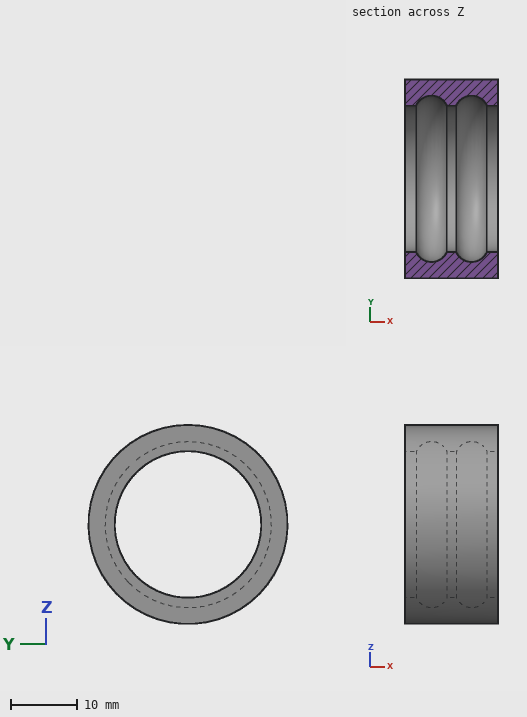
import cadquery as cq

outer_radius = 15.0
bore_radius = 11.0
ring_length = 14.0

groove_width = 4.62
groove_depth = 1.5
end_land = 1.68
middle_land = ring_length - 2 * (end_land + groove_width)

start_x = -ring_length / 2
first_groove_x = start_x + end_land
second_groove_x = first_groove_x + groove_width + middle_land


def add_groove(profile, groove_start):
    """Run along the bore to a groove, then follow its arc to the far edge."""
    return (
        profile.lineTo(groove_start, bore_radius)
        .threePointArc(
            (groove_start + groove_width / 2, bore_radius + groove_depth),
            (groove_start + groove_width, bore_radius),
        )
    )


section = cq.Workplane("XZ").moveTo(start_x, bore_radius)
for groove_start in (first_groove_x, second_groove_x):
    section = add_groove(section, groove_start)

result = (
    section.lineTo(start_x + ring_length, bore_radius)
    .lineTo(start_x + ring_length, outer_radius)
    .lineTo(start_x, outer_radius)
    .close()
    .revolve(360, (0, 0, 0), (1, 0, 0))
)